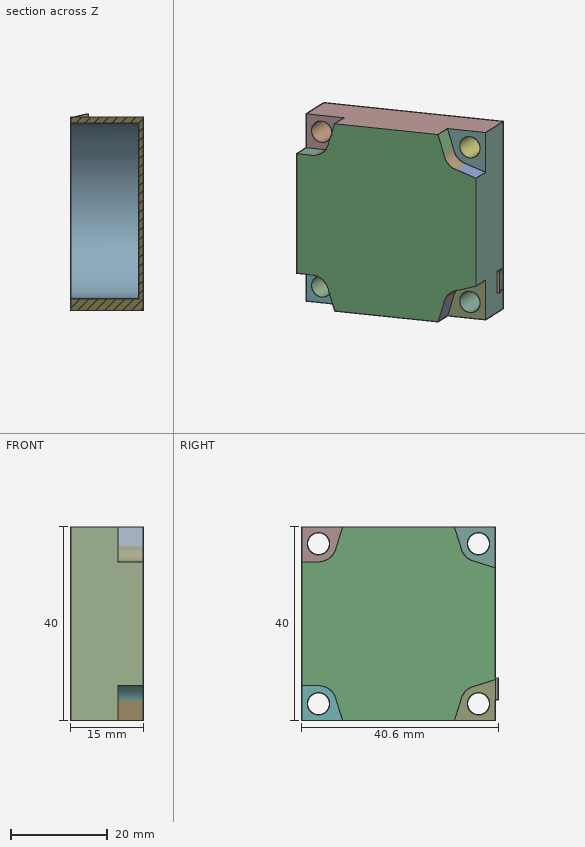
import cadquery as cq
import math

side = 40.0
half = side / 2
depth = 15.0

hole_diameter = 4.5
hole_inset = 3.5

bore_diameter = 36.17
bore_offset_y = 0.53
bore_depth = 14.0

flange_thickness = 9.8
recess_radius = 3.75
recess_reach = 8.5
wall_start_angle = math.radians(10)

wedge_height = 0.6
wedge_start_x = 0.8
wedge_crest_x = 3.4
wedge_end_x = 3.65
wedge_width = 4.5
wedge_center_z = -13.45


def arc_point(angle):
    """Point on the recess arc, measured inward from the body corner."""
    return (
        hole_inset + recess_radius * math.cos(angle),
        hole_inset + recess_radius * math.sin(angle),
    )


def corner_recess(y_sign, z_sign):
    """Recess with a sloped side wall; its floor is sloped at +Y and level at -Y."""
    if y_sign > 0:
        floor_angle = math.pi / 2 - wall_start_angle
        floor_edge = recess_reach
    else:
        floor_angle = math.pi / 2
        floor_edge = hole_inset + recess_radius

    def place(point):
        return (y_sign * (half - point[0]), z_sign * (half - point[1]))

    return (
        cq.Workplane("YZ", origin=(flange_thickness, 0, 0))
        .moveTo(*place((0, 0)))
        .lineTo(*place((0, floor_edge)))
        .lineTo(*place(arc_point(floor_angle)))
        .threePointArc(
            place(arc_point((floor_angle + wall_start_angle) / 2)),
            place(arc_point(wall_start_angle)),
        )
        .lineTo(*place((recess_reach, 0)))
        .close()
        .extrude(depth - flange_thickness)
    )


def snap_wedge():
    """Ramp rising along +X to a short crest."""
    return (
        cq.Workplane("XY", origin=(0, 0, wedge_center_z - wedge_width / 2))
        .moveTo(wedge_start_x, half)
        .lineTo(wedge_crest_x, half + wedge_height)
        .lineTo(wedge_end_x, half + wedge_height)
        .lineTo(wedge_end_x, half)
        .close()
        .extrude(wedge_width)
    )


body = cq.Workplane("YZ").rect(side, side).extrude(depth)
bore = cq.Workplane("YZ").center(bore_offset_y, 0).circle(bore_diameter / 2).extrude(bore_depth)
hole_pitch = side - 2 * hole_inset
holes = (
    cq.Workplane("YZ")
    .rect(hole_pitch, hole_pitch, forConstruction=True)
    .vertices()
    .circle(hole_diameter / 2)
    .extrude(depth)
)

result = body.cut(bore).cut(holes)
for y_sign in (-1, 1):
    for z_sign in (-1, 1):
        result = result.cut(corner_recess(y_sign, z_sign))
result = result.union(snap_wedge())